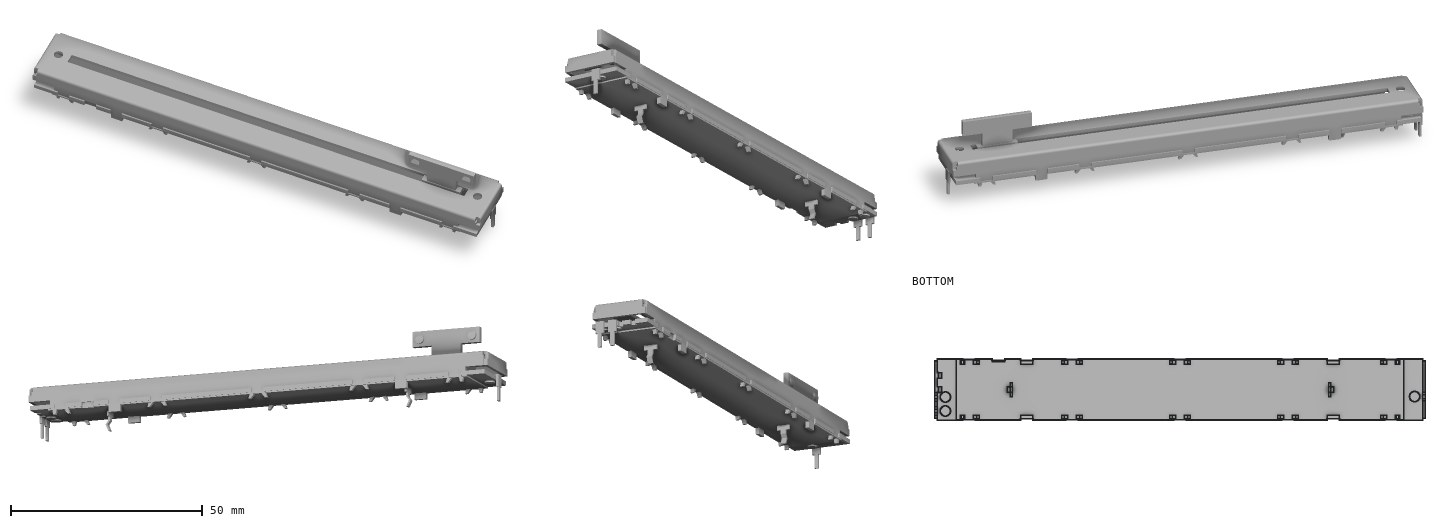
import cadquery as cq

overall_length = 128.0
overall_width = 16.0
overall_height = 19.7

sheet = 0.96
housing_width = 15.2
housing_top = 11.6
housing_bottom = 6.5
bend_radius = 0.8
end_wall_bottom = 7.7
side_skirt_half_length = 57.9
end_wall_width = 15.0
corner_relief_bottom = 9.5
side_flap_bottom = 10.4
side_flap_setback = 1.3
slot_length = 113.7
slot_width = 2.7
top_hole_x = 60.0
top_hole_diameter = 2.4

liner_bottom = 5.0
plate_bottom = 5.4
liner_half_length = 58.4
liner_width = 15.7
edge_notch_x = -47.4
edge_notch_width = 3.3
edge_notch_depth = 0.8
end_notch_depth = 1.3
end_notch_width = 1.4
end_notch_places = [0.0, -3.7]

tab_places = [-55.0, -28.2, 0.0, 28.2, 55.0]
tab_width = 3.3
ear_width = 1.2
ear_tip_width = 0.6
ear_bottom = 3.8
ear_lean = 0.6
leg_places = [-40.0, 40.0]
leg_width = 3.2
leg_bottom = 3.3

lever_x = 49.9
lever_thickness = 1.4
stem_width = 8.2
head_width = 18.7
head_height = 4.1
carriage_length = 11.0
carriage_rise = 0.3
carriage_neck_width = 1.8
pip_offset = 7.3
pip_z = 17.5
pip_radius = 1.2
pip_height = 0.5

terminal_thickness = 0.6
terminal_width = 2.3
pin_width = 1.0
shoulder_z = 3.7
strip_thickness = 0.4
strip_length = 4.6
rivet_inset = 2.8
rivet_diameter = 2.7
rivet_head = 0.4
left_terminal_places = [5.57, 1.9]
right_terminal_places = [1.8]

leads = [(-44.0, -1), (39.0, 1)]
lead_thickness = 0.5
lead_width = 1.4
lead_shoulder_width = 3.6
kink_top = 2.7
kink_mid = 1.7
kink_reach = 0.8

half_length = overall_length / 2
half_width = housing_width / 2
inner_half_width = half_width - sheet
inner_top = housing_top - sheet
plate_half_length = half_length - terminal_thickness
edge_depth = overall_width / 2 - half_width


def block(x_range, y_range, z_range):
    """Box spanning three (low, high) ranges."""
    low, high = zip(x_range, y_range, z_range)
    size = [b - a for a, b in zip(low, high)]
    return cq.Workplane("XY").box(*size, centered=False).translate(low)


def around(middle, size):
    """Range of the given size centred on a place."""
    return (middle - size / 2, middle + size / 2)


def side_range(side, near, far):
    """Range between two distances from the axis, on the +1 or -1 side."""
    return tuple(sorted((side * near, side * far)))


def make_housing():
    height = (housing_bottom, housing_top)
    body = block((-half_length, half_length), (-half_width, half_width), height)
    body = body.faces(">Z").edges().fillet(bend_radius)
    inner_x = half_length - sheet
    body = body.cut(
        block((-inner_x, inner_x), (-inner_half_width, inner_half_width), (housing_bottom, inner_top))
    )
    body = body.cut(block(around(0, slot_length), around(0, slot_width), height))
    for end in (-1, 1):
        body = body.cut(
            block(
                side_range(end, side_skirt_half_length, half_length),
                (-half_width, half_width),
                (housing_bottom, end_wall_bottom),
            )
        )
        hole = cq.Workplane("XY", origin=(end * top_hole_x, 0, inner_top))
        body = body.cut(hole.circle(top_hole_diameter / 2).extrude(sheet))
        end_wall = side_range(end, inner_x, half_length)
        side_flap_end = side_range(end, half_length - side_flap_setback, half_length)
        for side in (-1, 1):
            corner = side_range(side, inner_half_width, half_width)
            end_wall_edge = side_range(side, end_wall_width / 2, half_width)
            body = body.cut(block(end_wall, end_wall_edge, (end_wall_bottom, housing_top)))
            body = body.cut(block(end_wall, corner, (corner_relief_bottom, housing_top)))
            body = body.cut(block(side_flap_end, corner, (side_flap_bottom, housing_top)))
    return body


def make_plate():
    full_width = around(0, overall_width)
    plate = block(
        (-plate_half_length, plate_half_length), full_width, (plate_bottom, housing_bottom)
    )
    plate = plate.union(
        block(
            (-liner_half_length, liner_half_length),
            around(0, liner_width),
            (liner_bottom, plate_bottom),
        )
    )
    for side in (-1, 1):
        edge = side_range(side, half_width, half_width + edge_depth)
        for x in tab_places:
            plate = plate.cut(block(around(x, tab_width), edge, (plate_bottom, housing_bottom)))
        for x in leg_places:
            plate = plate.cut(block(around(x, leg_width), edge, (liner_bottom, housing_bottom)))
    plate = plate.cut(
        block(
            around(edge_notch_x, edge_notch_width),
            side_range(-1, overall_width / 2 - edge_notch_depth, overall_width / 2),
            (liner_bottom, housing_bottom),
        )
    )
    for y in end_notch_places:
        plate = plate.cut(
            block(
                (-plate_half_length, -plate_half_length + end_notch_depth),
                around(y, end_notch_width),
                (plate_bottom, housing_bottom),
            )
        )
    return plate


def make_ear(edge_x, direction, lean, side):
    """Small tapered ear below the plate, centred on a tab edge and leaning along X."""
    shift = direction * lean
    outline = [
        (edge_x - ear_width / 2, housing_bottom),
        (edge_x + ear_width / 2, housing_bottom),
        (edge_x + ear_width / 2, liner_bottom),
        (edge_x + shift + ear_tip_width / 2, ear_bottom),
        (edge_x + shift - ear_tip_width / 2, ear_bottom),
        (edge_x - ear_width / 2, liner_bottom),
    ]
    outer_y = half_width if side > 0 else -inner_half_width
    return cq.Workplane("XZ", origin=(0, outer_y, 0)).polyline(outline).close().extrude(sheet)


def make_ears_and_legs():
    parts = []
    for side in (-1, 1):
        wall = side_range(side, inner_half_width, half_width)
        for x in leg_places:
            parts.append(block(around(x, leg_width), wall, (leg_bottom, housing_bottom)))
        for x in tab_places:
            for direction in (-1, 1):
                lean = 0 if abs(x) == max(tab_places) and x * direction > 0 else ear_lean
                edge_x = x + direction * tab_width / 2
                parts.append(make_ear(edge_x, direction, lean, side))
    return parts


def make_pip(x):
    """Round pip on the -Y face of the lever head, its upper half sloped back as a ramp."""
    face_y = -lever_thickness / 2
    tip_y = face_y - pip_height
    pip = cq.Workplane("XZ", origin=(x, 0, pip_z)).circle(pip_radius).extrude(-tip_y)
    side_outline = [
        (0, pip_z - pip_radius),
        (tip_y, pip_z - pip_radius),
        (tip_y, pip_z),
        (face_y, pip_z + pip_radius),
        (0, pip_z + pip_radius),
    ]
    ramp = cq.Workplane("YZ", origin=(x - pip_radius, 0, 0)).polyline(side_outline).close()
    return pip.intersect(ramp.extrude(2 * pip_radius))


def make_lever():
    neck_top = housing_top + carriage_rise
    along = around(lever_x, carriage_length)
    thickness = around(0, lever_thickness)
    carriage = block(along, (-inner_half_width, inner_half_width), (housing_bottom, inner_top))
    neck = block(along, around(0, carriage_neck_width), (inner_top, neck_top))
    stem = block(around(lever_x, stem_width), thickness, (inner_top, overall_height))
    head = block(
        around(lever_x, head_width), thickness, (overall_height - head_height, overall_height)
    )
    lever = carriage.union(neck).union(stem).union(head)
    for direction in (-1, 1):
        lever = lever.union(make_pip(lever_x + direction * pip_offset))
    return lever


def make_terminal(end, y):
    """Strip riveted on the plate end and bent down into a shouldered pin."""
    strip_top = housing_bottom + strip_thickness
    down = side_range(end, plate_half_length, half_length)
    strip = block(
        side_range(end, half_length - strip_length, half_length),
        around(y, terminal_width),
        (housing_bottom, strip_top),
    )
    blade = block(down, around(y, terminal_width), (shoulder_z, strip_top))
    pin = block(down, around(y, pin_width), (0, shoulder_z))
    rivet = cq.Workplane("XY", origin=(end * (half_length - rivet_inset), y, plate_bottom - rivet_head))
    rivet = rivet.circle(rivet_diameter / 2).extrude(strip_top - plate_bottom + rivet_head)
    return strip.union(blade).union(pin).union(rivet)


def make_lead(x, direction):
    """Mounting lead with a wide shoulder and a sideways kink near its tip."""
    near = x - direction * lead_thickness / 2
    far = x + direction * lead_thickness / 2
    reach = direction * kink_reach
    outline = [
        (near, housing_bottom),
        (near, kink_top),
        (near + reach, kink_mid),
        (near, 0),
        (far, 0),
        (far + reach, kink_mid),
        (far, kink_top),
        (far, housing_bottom),
    ]
    blade = cq.Workplane("XZ", origin=(0, lead_width / 2, 0)).polyline(outline).close()
    shoulder = block(
        around(x, lead_thickness), around(0, lead_shoulder_width), (shoulder_z, housing_bottom)
    )
    return blade.extrude(lead_width).union(shoulder)


result = make_housing().union(make_plate()).union(make_lever())

for part in make_ears_and_legs():
    result = result.union(part)
for terminal_y in left_terminal_places:
    result = result.union(make_terminal(-1, terminal_y))
for terminal_y in right_terminal_places:
    result = result.union(make_terminal(1, terminal_y))
for lead_x, kink_direction in leads:
    result = result.union(make_lead(lead_x, kink_direction))